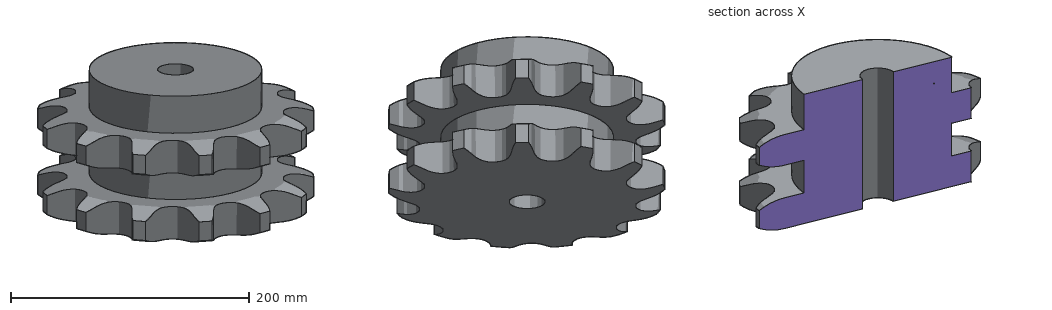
import cadquery as cq
import math

teeth = 13
chain_pitch = 50.8
roller_diameter = 29.2
tip_diameter = 232.8

ring_width = 28.8
ring_spacing = 58.5
ring_count = 2
overall_height = 120.0
hub_diameter = 145.0
bore_diameter = 30.0

relief_start_radius = 92.2
relief_depth = 6.0

working_radius_factor = 1.3025
topping_center_factor = 1.4
working_center_factor = 0.8

tooth_angle = math.radians(360 / teeth)
half_tooth_angle = tooth_angle / 2
pitch_radius = chain_pitch / (2 * math.sin(half_tooth_angle))
tip_radius = tip_diameter / 2

seat_radius = roller_diameter / 2

seat_half_angle = math.radians(55 - 60 / teeth)
working_angle = math.radians(18 - 56 / teeth)
topping_angle = math.radians(17 - 64 / teeth)

working_radius = roller_diameter * working_radius_factor
straight_length = roller_diameter * (
    topping_center_factor * math.sin(topping_angle) - working_center_factor * math.sin(working_angle)
)
topping_radius = roller_diameter * (
    working_center_factor * math.cos(working_angle)
    + topping_center_factor * math.cos(topping_angle)
    - working_radius_factor
)


def offset(point, distance, angle):
    """Move a point by a distance along a direction given from +X."""
    return (point[0] + distance * math.cos(angle), point[1] + distance * math.sin(angle))


def rotate(point, angle):
    """Turn a point about the sprocket axis."""
    x, y = point
    return (x * math.cos(angle) - y * math.sin(angle), x * math.sin(angle) + y * math.cos(angle))


def mirror(point):
    """Reflect a point across the Y axis."""
    return (-point[0], point[1])


def flank_points():
    """Right half of the tooth gap on the +Y axis, from the end of the roller seat to the tooth tip."""
    down = -math.pi / 2
    seat_end_direction = down + seat_half_angle
    straight_direction = seat_end_direction + working_angle
    seat_center = (0, pitch_radius)
    seat_end = offset(seat_center, seat_radius, seat_end_direction)

    working_center = offset(seat_end, -working_radius, seat_end_direction)
    working_middle = offset(working_center, working_radius, seat_end_direction + working_angle / 2)
    working_end = offset(working_center, working_radius, straight_direction)

    topping_start = offset(working_end, straight_length, straight_direction + math.pi / 2)
    topping_center = offset(topping_start, topping_radius, straight_direction)

    center_distance = math.hypot(*topping_center)
    tip_offset_angle = math.acos(
        (center_distance**2 + tip_radius**2 - topping_radius**2) / (2 * center_distance * tip_radius)
    )
    tip = offset((0, 0), tip_radius, math.atan2(topping_center[1], topping_center[0]) + tip_offset_angle)
    tip_direction = math.atan2(tip[1] - topping_center[1], tip[0] - topping_center[0])
    topping_sweep = straight_direction + math.pi - tip_direction
    topping_middle = offset(topping_center, topping_radius, tip_direction + topping_sweep / 2)
    return seat_end, working_middle, working_end, topping_start, topping_middle, tip


def tooth_outline():
    """Closed outline of all teeth, going clockwise from the gap on the +Y axis."""
    rising_flank = flank_points()
    falling_flank = [mirror(point) for point in rising_flank]
    root = (0, pitch_radius - seat_radius)
    outline = cq.Workplane("XY").moveTo(*falling_flank[0])
    for index in range(teeth):
        gap_turn = -index * tooth_angle
        next_gap_turn = gap_turn - tooth_angle
        gap_root = rotate(root, gap_turn)
        tip_middle = rotate((0, tip_radius), gap_turn - half_tooth_angle)
        up = [rotate(point, gap_turn) for point in rising_flank]
        down = [rotate(point, next_gap_turn) for point in reversed(falling_flank)]
        outline = (
            outline.threePointArc(gap_root, up[0])
            .threePointArc(up[1], up[2])
            .lineTo(*up[3])
            .threePointArc(up[4], up[5])
            .threePointArc(tip_middle, down[0])
            .threePointArc(down[1], down[2])
            .lineTo(*down[3])
            .threePointArc(down[4], down[5])
        )
    return outline.close()


def relieved_disc():
    """Disc whose faces curve inward, tangent to the flat, towards the tip circle."""
    run = tip_radius - relief_start_radius
    relief_radius = (run**2 + relief_depth**2) / (2 * relief_depth)
    half_sweep = math.asin(run / relief_radius) / 2
    middle_radius = relief_start_radius + relief_radius * math.sin(half_sweep)
    middle_drop = relief_radius * (1 - math.cos(half_sweep))
    return (
        cq.Workplane("XZ")
        .lineTo(relief_start_radius, 0)
        .threePointArc((middle_radius, middle_drop), (tip_radius, relief_depth))
        .lineTo(tip_radius, ring_width - relief_depth)
        .threePointArc((middle_radius, ring_width - middle_drop), (relief_start_radius, ring_width))
        .lineTo(0, ring_width)
        .close()
        .revolve(360, (0, 0, 0), (0, 1, 0))
    )


toothed_ring = tooth_outline().extrude(ring_width).intersect(relieved_disc())

result = cq.Workplane("XY").circle(hub_diameter / 2).extrude(overall_height)
for ring_index in range(ring_count):
    result = result.union(toothed_ring.translate((0, 0, ring_index * ring_spacing)))

bore = cq.Workplane("XY").circle(bore_diameter / 2).extrude(overall_height)
result = result.cut(bore)